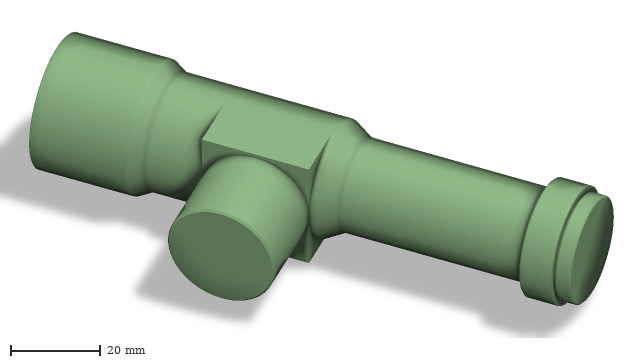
import cadquery as cq
import math


socket_end_x = -54.2
socket_shoulder_x = -30.6
body_shoulder_x = 13.9
collar_start_x = 63.9
collar_end_x = 71.8
rim_start_x = 72.4
rim_end_x = 75.9

socket_radius = 16.0
body_radius = 14.0
tube_radius = 11.1
collar_radius = 14.0
neck_radius = 12.4
rim_radius = 12.7

cone_angle = math.radians(30)
socket_blend_radius = 0.8
body_blend_radius = 1.5
tube_blend_radius = 0.8
socket_chamfer = 0.2
collar_chamfer = 0.4
rim_chamfer = 0.3

branch_radius = 13.0
branch_end_y = -34.0
branch_chamfer = 0.5
block_width = 2 * branch_radius
block_height = 2 * body_radius

selection_margin = 0.01


def cone_length(large_radius, small_radius):
    """Axial length of a cone between two radii."""
    return (large_radius - small_radius) / math.tan(cone_angle)


def fillet_ring(solid, x, radius, fillet_radius):
    """Fillet the circular edge of the given radius lying in the plane at x."""
    reach = radius + selection_margin
    low_corner = (x - selection_margin, -reach, -reach)
    high_corner = (x + selection_margin, reach, reach)
    ring = cq.selectors.BoxSelector(low_corner, high_corner, boundingbox=True)
    return solid.edges(ring).fillet(fillet_radius)


def make_run():
    """Stepped round run: socket, body, tube, collar and rim, with blended cones."""
    body_start_x = socket_shoulder_x + cone_length(socket_radius, body_radius)
    tube_start_x = body_shoulder_x + cone_length(body_radius, tube_radius)
    run = (
        cq.Workplane("XY")
        .moveTo(socket_end_x, 0)
        .lineTo(socket_end_x, socket_radius - socket_chamfer)
        .lineTo(socket_end_x + socket_chamfer, socket_radius)
        .lineTo(socket_shoulder_x, socket_radius)
        .lineTo(body_start_x, body_radius)
        .lineTo(body_shoulder_x, body_radius)
        .lineTo(tube_start_x, tube_radius)
        .lineTo(collar_start_x, tube_radius)
        .lineTo(collar_start_x, collar_radius - collar_chamfer)
        .lineTo(collar_start_x + collar_chamfer, collar_radius)
        .lineTo(collar_end_x, collar_radius)
        .lineTo(collar_end_x, neck_radius)
        .lineTo(rim_start_x, neck_radius)
        .lineTo(rim_start_x, rim_radius)
        .lineTo(rim_end_x - rim_chamfer, rim_radius)
        .lineTo(rim_end_x, rim_radius - rim_chamfer)
        .lineTo(rim_end_x, 0)
        .close()
        .revolve(360, (0, 0, 0), (1, 0, 0))
    )
    run = fillet_ring(run, socket_shoulder_x, socket_radius, socket_blend_radius)
    run = fillet_ring(run, body_start_x, body_radius, socket_blend_radius)
    run = fillet_ring(run, body_shoulder_x, body_radius, body_blend_radius)
    return fillet_ring(run, tube_start_x, tube_radius, tube_blend_radius)


def make_block():
    """Square-cornered block from the run axis to the -Y tangent plane of the body."""
    block = cq.Workplane("XY").box(block_width, body_radius, block_height)
    return block.translate((0, -body_radius / 2, 0))


def make_branch():
    """Round branch along -Y with a chamfered end."""
    branch = cq.Workplane("XZ").circle(branch_radius).extrude(-branch_end_y)
    return branch.faces("<Y").chamfer(branch_chamfer)


result = make_run().union(make_block()).union(make_branch())